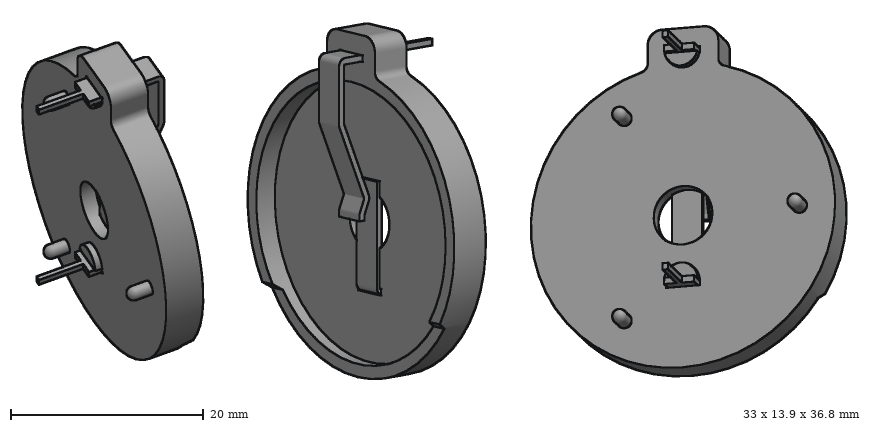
import cadquery as cq
import math


disc_radius = 16.5
housing_depth = 4.35
tab_width = 7.65
tab_top = 20.33
tab_corner_radius = 1.6
tab_root_radius = 0.92
floor_depth = 1.8
cavity_radius = 15.1
centre_hole_radius = 3.15
low_rim_depth = 3.35
low_rim_top = -9.15
rim_step_rise = 0.65

peg_count = 3
peg_circle_radius = 12.67
peg_radius = 0.77
peg_length = 2.6

strip_thickness = 0.7
strip_width = 3.25
bend_inner_radius = 0.1
bend_outer_radius = bend_inner_radius + strip_thickness
shoulder_length = 1.45
pin_length = 6.6
pin_width = 0.6
spring_top = 18.2
plate_bottom = -7.75
plate_top = 4.42
plate_front = 1.47

spring_back = 7.35
arm_bend_height = 10.98
arm_lean = math.radians(23)
arm_valley_height = 2.85
lip_bend_height = 1.25
lip_end_height = 0.5

slot_width = 3.7
boss_radius = 1.8
boss_length = 0.77
plate_boss_height = -7.15

spring_underside = spring_top - strip_thickness
plate_pin_top = plate_bottom + strip_thickness
feature_root = floor_depth / 2
clearance = 0.35
plate_back = plate_front + strip_thickness


def block(width, y_start, y_end, z_start, z_end):
    """Box centred on X = 0 between the given Y and Z limits."""
    return (
        cq.Workplane("XY")
        .box(width, y_end - y_start, z_end - z_start, centered=(True, False, False))
        .translate((0, y_start, z_start))
    )


def y_cylinder(radius, y_start, y_end, x=0, z=0):
    """Cylinder along Y between the given Y limits."""
    axis_start = cq.Vector(x, y_start, z)
    return cq.Workplane(cq.Solid.makeCylinder(radius, y_end - y_start, axis_start, cq.Vector(0, 1, 0)))


def make_outline():
    """Full-depth disc with its rounded finger tab."""
    disc = y_cylinder(disc_radius, 0, housing_depth)
    tab = block(tab_width, 0, housing_depth, 0, tab_top)
    tab = tab.edges("|Y and >Z").fillet(tab_corner_radius)
    body = disc.union(tab)
    root_height = math.sqrt(disc_radius**2 - (tab_width / 2) ** 2)
    roots = cq.selectors.BoxSelector(
        (-tab_width, -clearance, root_height - clearance),
        (tab_width, housing_depth + clearance, root_height + clearance),
    )
    return body.edges("|Y").edges(roots).fillet(tab_root_radius)


def make_low_rim_cut():
    """Material removed from the back of the lower rim, up to a sloping step."""
    below = -disc_radius - clearance
    beyond = housing_depth + clearance
    step_top = low_rim_top + rim_step_rise
    return (
        cq.Workplane("YZ")
        .moveTo(low_rim_depth, below)
        .lineTo(low_rim_depth, low_rim_top)
        .lineTo(housing_depth, step_top)
        .lineTo(beyond, step_top)
        .lineTo(beyond, below)
        .close()
        .extrude(disc_radius, both=True)
    )


def make_peg(angle):
    """Round-nosed locating peg on the board side of the housing."""
    x = peg_circle_radius * math.cos(angle)
    z = peg_circle_radius * math.sin(angle)
    peg = y_cylinder(peg_radius, peg_radius - peg_length, feature_root, x, z)
    nose = cq.Workplane("XY").sphere(peg_radius).translate((x, peg_radius - peg_length, z))
    return peg.union(nose)


def make_boss(centre_height, keep_bottom, keep_top):
    """Half-round boss: the part of a short cylinder between two heights."""
    boss = y_cylinder(boss_radius, -boss_length, feature_root, z=centre_height)
    return boss.intersect(block(slot_width, -boss_length, feature_root, keep_bottom, keep_top))


def make_housing():
    body = make_outline()
    body = body.cut(y_cylinder(cavity_radius, floor_depth, housing_depth))
    body = body.cut(y_cylinder(centre_hole_radius, 0, floor_depth))
    body = body.cut(make_low_rim_cut())

    for index in range(peg_count):
        body = body.union(make_peg(index * 2 * math.pi / peg_count))

    spring_pin_middle = spring_top - strip_thickness / 2
    body = body.union(make_boss(spring_pin_middle, spring_pin_middle - boss_radius, spring_underside))
    body = body.union(make_boss(plate_boss_height, plate_pin_top, plate_boss_height + boss_radius))

    for slot_bottom in (spring_underside, plate_bottom):
        slot = block(slot_width, 0, housing_depth, slot_bottom, slot_bottom + strip_thickness)
        body = body.cut(slot)

    plate_channel = block(strip_width, plate_front, floor_depth, plate_pin_top, plate_top)
    return body.cut(plate_channel)


def make_pin(bottom):
    """Narrow solder pin in front of a contact's shoulder."""
    return block(pin_width, -pin_length, -shoulder_length, bottom, bottom + strip_thickness)


def bend_edges(y, z):
    """Selector for the edge along X at the given place."""
    margin = 0.05
    return cq.selectors.BoxSelector(
        (-strip_width, y - margin, z - margin), (strip_width, y + margin, z + margin)
    )


def make_spring_contact():
    """Strip that comes out of the tab, turns down and dips into the cavity."""
    slope = math.tan(arm_lean)
    spring_front = spring_back - strip_thickness
    valley_back = spring_back - (arm_bend_height - arm_valley_height) * slope
    valley_front = valley_back - strip_thickness / math.cos(arm_lean)
    lip_back = valley_back + (arm_valley_height - lip_bend_height) * slope
    lip_front = lip_back - strip_thickness
    mitre = strip_thickness * math.tan(arm_lean / 2)

    outer_bends = [
        (spring_back, spring_top),
        (spring_back, arm_bend_height),
        (valley_front, arm_valley_height),
        (lip_back, lip_bend_height),
    ]
    inner_bends = [
        (spring_front, spring_underside),
        (spring_front, arm_bend_height + mitre),
        (valley_back, arm_valley_height),
        (lip_front, lip_bend_height - mitre),
    ]
    spring_corner, arm_outside, valley_outside, lip_outside = outer_bends
    spring_inner_corner, arm_inside, valley_inside, lip_inside = inner_bends
    profile = [
        (-shoulder_length, spring_top),
        spring_corner,
        arm_outside,
        valley_inside,
        lip_outside,
        (lip_back, lip_end_height),
        (lip_front, lip_end_height),
        lip_inside,
        valley_outside,
        arm_inside,
        spring_inner_corner,
        (-shoulder_length, spring_underside),
    ]
    strip = cq.Workplane("YZ").polyline(profile).close().extrude(strip_width / 2, both=True)
    for y, z in outer_bends:
        strip = strip.edges(bend_edges(y, z)).fillet(bend_outer_radius)
    for y, z in inner_bends:
        strip = strip.edges(bend_edges(y, z)).fillet(bend_inner_radius)
    return strip.union(make_pin(spring_underside))


def make_plate_contact():
    """L-shaped strip lying in a shallow floor channel across the centre hole."""
    shoulder = block(strip_width, -shoulder_length, plate_back, plate_bottom, plate_pin_top)
    plate = block(strip_width, plate_front, plate_back, plate_bottom, plate_top)
    strip = shoulder.union(plate)
    strip = strip.edges(bend_edges(plate_back, plate_bottom)).fillet(bend_outer_radius)
    return strip.union(make_pin(plate_bottom))


housing = make_housing()
spring_contact = make_spring_contact()
plate_contact = make_plate_contact()

result = cq.Compound.makeCompound([
    housing.solids().val(),
    spring_contact.solids().val(),
    plate_contact.solids().val(),
])